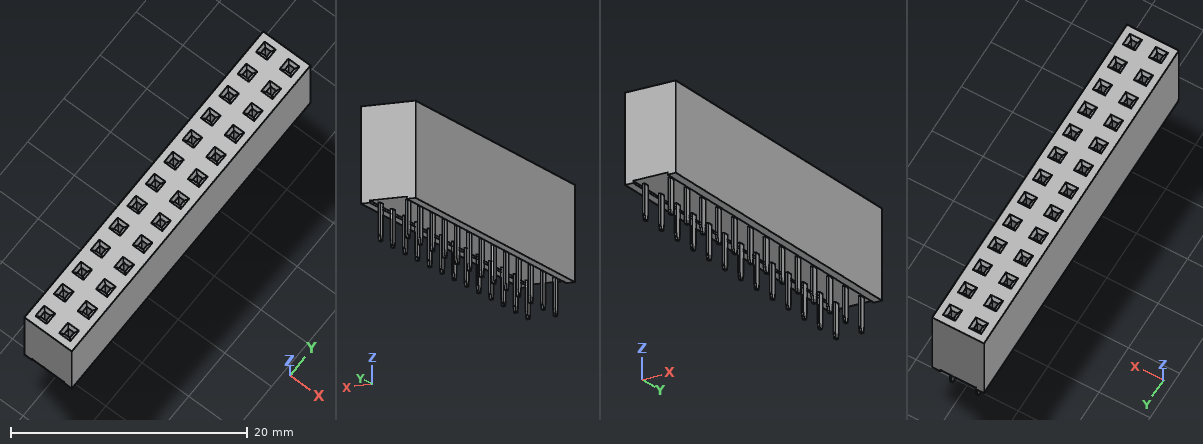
import cadquery as cq

body_length = 33.02
body_width = 5.1
total_height = 11.6
body_height = 8.5
position_count = 13
row_count = 2

foot_width = 0.83
foot_height = 0.2

pin_thickness = 0.2
pin_width = 0.6
tip_width = 0.33
tip_length = 0.6

funnel_size = 1.2
socket_depth = 5.95
contact_depth = 1.98

hole_size = pin_width
funnel_depth = (funnel_size - hole_size) / 2

pitch_x = body_width / row_count
pitch_y = body_length / position_count
body_bottom = total_height - body_height
socket_floor = total_height - socket_depth
contact_top = total_height - contact_depth


def make_body():
    """Rectangular housing with a full-length relief between its two feet."""
    housing = cq.Workplane("XY", origin=(0, 0, body_bottom)).box(
        body_width, body_length, body_height, centered=(True, True, False)
    )
    relief = cq.Workplane("XY", origin=(0, 0, body_bottom)).box(
        body_width - 2 * foot_width, body_length, foot_height, centered=(True, True, False)
    )
    return housing.cut(relief)


def make_socket():
    """Cutter for one socket, centred on the Z axis."""
    funnel = (
        cq.Workplane("XY", origin=(0, 0, total_height))
        .rect(funnel_size, funnel_size)
        .workplane(offset=-funnel_depth)
        .rect(hole_size, hole_size)
        .loft(ruled=True)
    )
    hole = cq.Workplane("XY", origin=(0, 0, socket_floor)).box(
        hole_size, hole_size, socket_depth - funnel_depth, centered=(True, True, False)
    )
    return funnel.union(hole)


def make_pin():
    """Flat contact centred on the Z axis, tapered across its width at the tip."""
    half_width = pin_width / 2
    half_tip = tip_width / 2
    outline = [
        (-half_tip, 0),
        (half_tip, 0),
        (half_width, tip_length),
        (half_width, contact_top),
        (-half_width, contact_top),
        (-half_width, tip_length),
    ]
    return cq.Workplane("YZ").polyline(outline).close().extrude(pin_thickness / 2, both=True)


def at_every_contact(shape):
    """Copies of a shape placed at all contact positions."""
    solid = shape.val()
    points = cq.Workplane("XY").rarray(pitch_x, pitch_y, row_count, position_count)
    return points.eachpoint(lambda place: solid.moved(place))


result = make_body().cut(at_every_contact(make_socket())).union(at_every_contact(make_pin()))